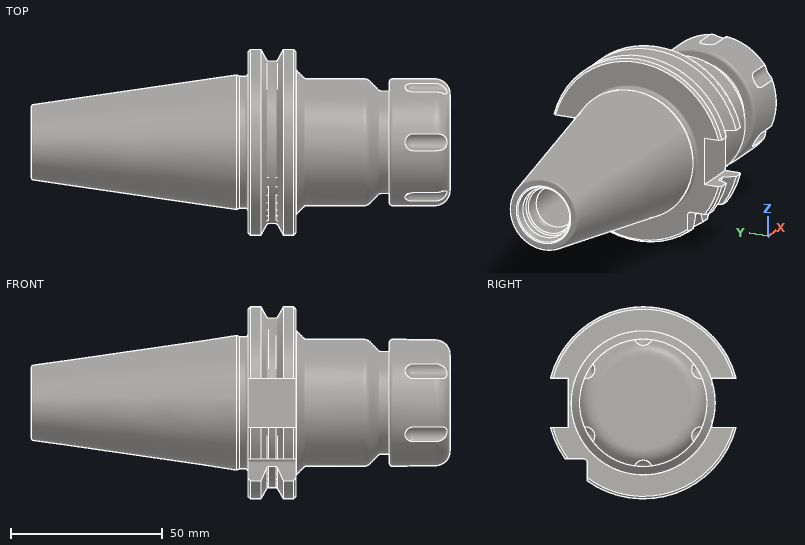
import cadquery as cq
import math

total_length = 138.2

taper_length = 67.7
taper_ratio = 7 / 24
taper_end_radius = 22.3
taper_start_radius = taper_end_radius - taper_length * taper_ratio / 2
taper_start_fillet = 0.8

relief_start = 68.7
relief_radius = 21.8
relief_fillet = 0.8

flange_start = 71.5
flange_end = 87.4
flange_radius = 31.73
flange_chamfer = 0.8
groove_center = 79.5
groove_floor_radius = 28.0
groove_floor_width = 3.2
groove_half_angle = 30.0
groove_fillet = 0.5

slot_width = 16.2
front_slot_floor = 24.7
back_slot_floor = 22.7
notch_offset = 18.5
notch_fillet = 1.2
cutter_clearance = 1.4

cone_start = 87.5
cone_start_radius = 23.8
cone_fillet = 0.7
body_radius = 21.0
shoulder_start = 110.9
shoulder_fillet = 2.9
neck_radius = 17.0
neck_fillet = 1.1

mouth_radius = 10.0
mouth_chamfer = 0.3
countersink_radius = 9.5
countersink_depth = 2.1
pilot_radius = 8.6
pilot_depth = 4.5
thread_radius = 8.0
thread_start = 5.1
thread_end = 7.9
thread_end_fillet = 1.8
drill_radius = 7.0
drill_start = 9.1
drill_depth = 38.7
drill_point_half_angle = 59.0

nut_start = 118.0
nut_radius = 21.0
nut_back_fillet = 1.2
nut_front_fillet = 5.3
wrench_slot_count = 6
wrench_slot_radius = 3.0
wrench_slot_axis = 22.0
wrench_slot_end = 126.2


def unit_vector(start, end):
    length = math.dist(start, end)
    return ((end[0] - start[0]) / length, (end[1] - start[1]) / length)


def corner_arc(before, corner, after, radius):
    """Start, middle and end of the arc that rounds a corner between two straight lines."""
    back = unit_vector(corner, before)
    ahead = unit_vector(corner, after)
    half_angle = math.acos(back[0] * ahead[0] + back[1] * ahead[1]) / 2
    tangent = radius / math.tan(half_angle)
    inset = radius / math.sin(half_angle) - radius
    bisector = unit_vector((0, 0), (back[0] + ahead[0], back[1] + ahead[1]))
    return [
        (corner[0] + step * direction[0], corner[1] + step * direction[1])
        for direction, step in ((back, tangent), (bisector, inset), (ahead, tangent))
    ]


def turned(corners):
    """Revolve corners about the X axis. A corner is (x, radius) or (x, radius, fillet)."""
    outline = cq.Workplane("XY").moveTo(*corners[0])
    for before, corner, after in zip(corners, corners[1:], corners[2:]):
        if len(corner) == 3:
            start, middle, end = corner_arc(before[:2], corner[:2], after[:2], corner[2])
            outline = outline.lineTo(*start).threePointArc(middle, end)
        else:
            outline = outline.lineTo(*corner)
    return outline.lineTo(*corners[-1]).close().revolve(360, (0, 0, 0), (1, 0, 0))


def holder_blank():
    """Turned outside of the holder, from the taper to the neck behind the nut."""
    groove_depth = flange_radius - groove_floor_radius
    floor_half = groove_floor_width / 2
    mouth_half = floor_half + groove_depth * math.tan(math.radians(groove_half_angle))
    chamfer_radius = flange_radius - flange_chamfer
    cone_end = cone_start + cone_start_radius - body_radius
    neck_start = shoulder_start + body_radius - neck_radius
    return turned([
        (0, 0),
        (0, taper_start_radius, taper_start_fillet),
        (taper_length, taper_end_radius),
        (relief_start, relief_radius),
        (flange_start, relief_radius, relief_fillet),
        (flange_start, chamfer_radius),
        (flange_start + flange_chamfer, flange_radius),
        (groove_center - mouth_half, flange_radius),
        (groove_center - floor_half, groove_floor_radius, groove_fillet),
        (groove_center + floor_half, groove_floor_radius, groove_fillet),
        (groove_center + mouth_half, flange_radius),
        (flange_end - flange_chamfer, flange_radius),
        (flange_end, chamfer_radius),
        (flange_end, cone_start_radius),
        (cone_start, cone_start_radius),
        (cone_end, body_radius, cone_fillet),
        (shoulder_start, body_radius, shoulder_fillet),
        (neck_start, neck_radius, neck_fillet),
        (nut_start, neck_radius),
        (nut_start, 0),
    ])


def drawbar_bore():
    """Stepped blind bore with a countersunk mouth and a drill point."""
    point_length = drill_radius / math.tan(math.radians(drill_point_half_angle))
    return turned([
        (0, 0),
        (0, mouth_radius),
        (mouth_chamfer, countersink_radius),
        (countersink_depth, pilot_radius),
        (pilot_depth, pilot_radius),
        (thread_start, thread_radius),
        (thread_end, thread_radius, thread_end_fillet),
        (drill_start, drill_radius),
        (drill_depth, drill_radius),
        (drill_depth + point_length, 0),
    ])


def rim_block(y_min, y_max, z_min, z_max):
    """Box over the full width of the flange."""
    size = (flange_end - flange_start, y_max - y_min, z_max - z_min)
    return cq.Workplane("XY").box(*size, centered=False).translate((flange_start, y_min, z_min))


def flange_cuts():
    """Two drive slots of unequal depth and the orientation notch."""
    reach = flange_radius + cutter_clearance
    half = slot_width / 2
    front_slot = rim_block(-reach, -front_slot_floor, -half, half)
    back_slot = rim_block(back_slot_floor, reach, -half, half)
    notch = rim_block(-reach, -notch_offset, -reach, -notch_offset)
    notch = notch.edges("|X and >Y and >Z").fillet(notch_fillet)
    return [front_slot, back_slot, notch]


def build_holder():
    holder = holder_blank().cut(drawbar_bore())
    for cutter in flange_cuts():
        holder = holder.cut(cutter)
    return holder


def wrench_slot(angle):
    """Ball-ended cutter path along X, open at the front of the nut; 0 degrees is +Z."""
    path_length = total_length - wrench_slot_end
    shaft = cq.Workplane("YZ").circle(wrench_slot_radius).extrude(path_length)
    cutter = shaft.union(cq.Workplane("XY").sphere(wrench_slot_radius))
    cutter = cutter.translate((wrench_slot_end, 0, wrench_slot_axis))
    return cutter.rotate((0, 0, 0), (1, 0, 0), angle)


def build_nut():
    nut_length = total_length - nut_start
    nut = cq.Workplane("YZ").workplane(offset=nut_start).circle(nut_radius).extrude(nut_length)
    nut = nut.faces("<X").edges().fillet(nut_back_fillet)
    nut = nut.faces(">X").edges().fillet(nut_front_fillet)
    for index in range(wrench_slot_count):
        nut = nut.cut(wrench_slot(index * 360 / wrench_slot_count))
    return nut


holder = build_holder()
nut = build_nut()
result = cq.Compound.makeCompound([holder.val(), nut.val()])